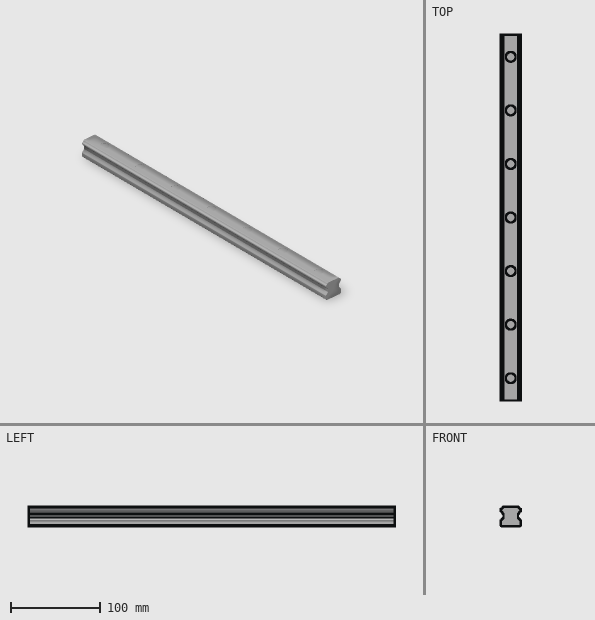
import cadquery as cq

rail_length = 410
rail_width = 23.0
rail_height = 22.0
half_width = rail_width / 2
top = rail_height / 2
bottom = -rail_height / 2

top_half_width = 8
shoulder_half_width = 9.0
shoulder_depth = 1.0
head_side_top_depth = 3.0
head_side_bottom_depth = 5.0
lip_half_width = 9.0
lip_depth = 7.8
neck_half_width = 8
neck_top_depth = 8.5
neck_bottom_depth = 12.5
base_side_top_depth = 16.0

raceway_sag = 0.5

side_edge_radius = 1.0
base_chamfer = 1.45

hole_count = 7
hole_end_distance = 25.0
hole_pitch = (rail_length - 2 * hole_end_distance) / (hole_count - 1)
cap_diameter = 11.0
cap_recess_depth = 0.2


def rail_half():
    """Right half of the waisted rail, extruded along Y and centred on the origin."""
    section = (
        cq.Workplane("XZ")
        .moveTo(0, top)
        .lineTo(top_half_width, top)
        .lineTo(shoulder_half_width, top - shoulder_depth)
        .sagittaArc((half_width, top - head_side_top_depth), -raceway_sag)
        .lineTo(half_width, top - head_side_bottom_depth)
        .sagittaArc((lip_half_width, top - lip_depth), -raceway_sag)
        .lineTo(neck_half_width, top - neck_top_depth)
        .lineTo(neck_half_width, top - neck_bottom_depth)
        .lineTo(half_width, top - base_side_top_depth)
        .lineTo(half_width, bottom)
        .lineTo(0, bottom)
        .close()
    )
    half = section.extrude(rail_length / 2, both=True)
    half = half.edges("|Y and >X and (not <Z)").fillet(side_edge_radius)
    half = half.edges("|Y and >X and <Z").chamfer(base_chamfer)
    return half


def rail_body():
    """Whole rail: the right half joined to its mirror image."""
    return rail_half().mirror("YZ", union=True).clean()


def cap_recesses():
    """Shallow round recesses left above the screw-hole caps."""
    return (
        cq.Workplane("XY", origin=(0, 0, top - cap_recess_depth))
        .rarray(4, hole_pitch, 1, hole_count)
        .circle(cap_diameter / 2)
        .extrude(cap_recess_depth)
    )


result = rail_body().cut(cap_recesses())